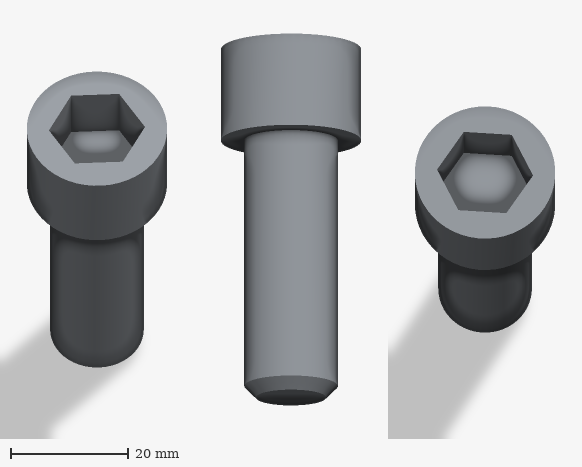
import cadquery as cq
import math

total_length = 61.0
head_diameter = 24.0
head_height = 16.0
shank_diameter = 16.0
shank_length = total_length - head_height

point_height = 2.0
point_inset = 2.0

socket_across_flats = 14.2
socket_depth = 10.7
socket_across_corners = socket_across_flats / math.cos(math.pi / 6)


def make_body():
    """Revolve the half profile of the head, shank and point."""
    head_radius = head_diameter / 2
    shank_radius = shank_diameter / 2
    profile = (
        cq.Workplane("XZ")
        .moveTo(0, head_height)
        .lineTo(head_radius, head_height)
        .lineTo(head_radius, 0)
        .lineTo(shank_radius, 0)
        .lineTo(shank_radius, point_height - shank_length)
        .lineTo(shank_radius - point_inset, -shank_length)
        .lineTo(0, -shank_length)
        .close()
    )
    return profile.revolve(360, (0, 0, 0), (0, 1, 0))


def make_socket():
    """Flat-bottomed hexagonal prism sunk from the top of the head."""
    return (
        cq.Workplane("XY")
        .workplane(offset=head_height - socket_depth)
        .polygon(6, socket_across_corners)
        .extrude(socket_depth)
    )


result = make_body().cut(make_socket())